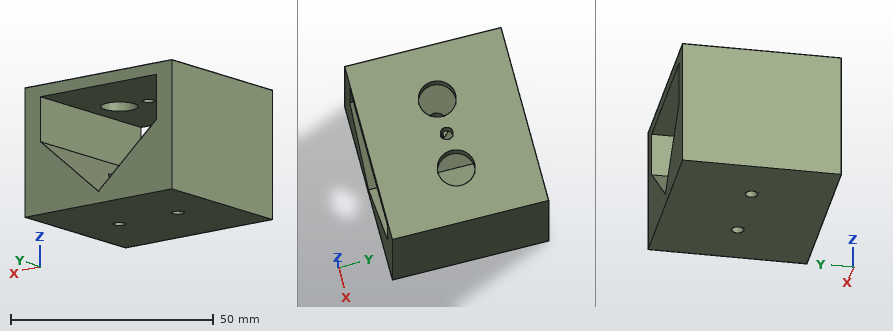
import cadquery as cq

length = 46.45
width = 40.0
height = 33.0

tunnel_width = 36.6
wall = 3.0
shoulder_height = 18.5

hole_offset = 9.25
access_diameter = 9.4
head_diameter = 5.5
screw_diameter = 3.1
seat_height = wall

center_diameter = 3.2


def vertical_cylinder(x, diameter, bottom, top):
    """Upright cutter on the X axis, between two heights."""
    return cq.Workplane("XY", origin=(x, 0, bottom)).circle(diameter / 2).extrude(top - bottom)


block = cq.Workplane("XY").box(length, width, height, centered=(True, True, False))

tunnel_top = height - wall
half_tunnel = tunnel_width / 2
tunnel = (
    cq.Workplane("XZ")
    .moveTo(0, wall)
    .lineTo(half_tunnel, shoulder_height)
    .lineTo(half_tunnel, tunnel_top)
    .lineTo(-half_tunnel, tunnel_top)
    .lineTo(-half_tunnel, shoulder_height)
    .close()
    .extrude(width / 2, both=True)
)
result = block.cut(tunnel)

for x in (-hole_offset, hole_offset):
    result = result.cut(vertical_cylinder(x, access_diameter, tunnel_top, height))
    result = result.cut(vertical_cylinder(x, head_diameter, seat_height, tunnel_top))
    result = result.cut(vertical_cylinder(x, screw_diameter, 0, seat_height))

result = result.cut(vertical_cylinder(0, center_diameter, tunnel_top, height))